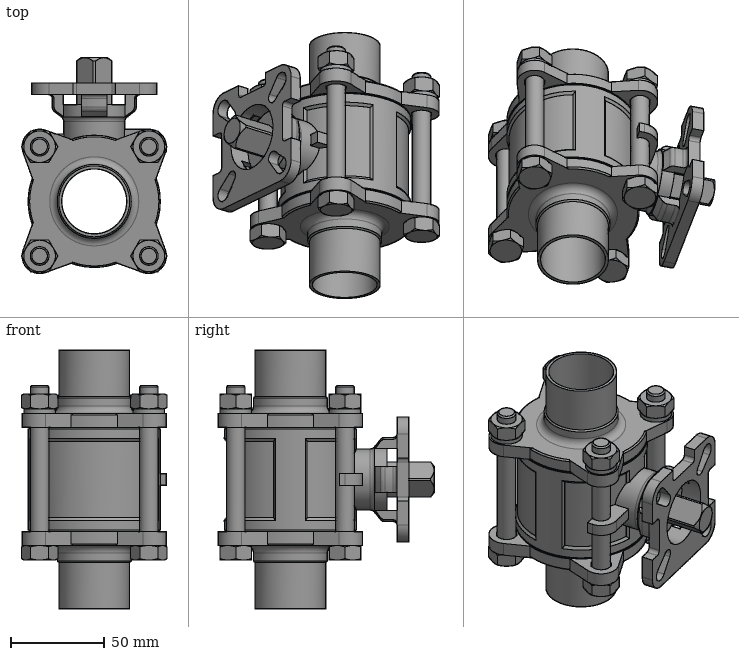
import cadquery as cq
import math


LENGTH = 139.0
BORE_D = 34.8
PIPE_D = 38.1
COLLAR_D = 39.8
COLLAR_TOP = 44.6
COLLAR_CHAMFER = (COLLAR_D - PIPE_D) / 2
COLLAR_FILLET = 4.0

FLANGE_INNER = 28.0
FLANGE_OUTER = 35.5
FLANGE_THICKNESS = FLANGE_OUTER - FLANGE_INNER
FLANGE_D = 71.0
FLANGE_CHAMFER = 0.8
BOLT_OFFSET = 29.3
LOBE_R = 9.5
LOBE_FLANK_ANGLE = math.radians(19.8)
LOBE_FLANK_LENGTH = 15.3
BOLT_HOLE_D = 11.0

BOLT_D = 10.0
BOLT_TOP = 50.6
BOLT_CHAMFER = 0.8
HEX_FLATS = 17.0
HEX_CORNERS = HEX_FLATS / math.cos(math.pi / 6)
HEX_CHAMFER_ANGLE = math.radians(30)
HEAD_HEIGHT = 7.8
WASHER_D = 17.0
WASHER_THICKNESS = 2.5
NUT_TOP = 46.0

BODY_R = FLANGE_D / 2
BODY_HALF = 27.2
SEAL_R = 35.0
PANEL_R = 34.3
PANEL_HALF = 22.0
PANEL_FLOOR_HALF = 20.5
RIB_HALF = 7.4
RIB_ROOT_HALF = 8.2

LUG_HEIGHT = 6.4
LUG_INNER_X = 13.9
LUG_INNER_Y = 26.4
BIG_LUG_REACH = BOLT_OFFSET + LOBE_R
SMALL_LUG_X = 22.2
SMALL_LUG_Y = 36.3

NECK_D = 33.0
NECK_START = 25.0
RING_D = 36.0
RING_END = 52.0
LEG_START = 45.2
LEG_R = 22.7
LEG_WIDTH = 13.9
LEG_FOOT_Y = 44.3
LEG_SHOULDER_Y = 49.2
LEG_BEND_R = 3.2
LEG_TOP_FILLET = 2.1
PLATE_FRONT = 57.3
PLATE_BACK = 63.7
PLATE_HALF = 33.6
PLATE_CORNER_R = 9.3
NOTCH_HALF = 11.5
NOTCH_DEPTH = 7.4
NOTCH_FILLET = 2.1
SLOT_OUTER_R = 35.0
SLOT_INNER_R = 25.0
SLOT_OUTER_D = 9.0
SLOT_INNER_D = 6.8

STEM_END = 77.3
STEM_FLATS = 14.3
STEM_D = 19.0
STEM_TIP_D = 13.9
STEM_CHAMFER = 2.0

BOLT_POINTS = [(sx * BOLT_OFFSET, sy * BOLT_OFFSET) for sx in (-1, 1) for sy in (-1, 1)]


def disc(diameter, z_start, z_end):
    """Cylinder on the Z axis."""
    return cq.Workplane("XY").workplane(offset=z_start).circle(diameter / 2).extrude(z_end - z_start)


def y_plane(y):
    """Sketch plane across the stem axis, in X and Z; a negative extrusion runs along +Y."""
    return cq.Workplane("XZ", origin=(0, y, 0))


def y_disc(diameter, y_start, y_end):
    """Cylinder on the Y axis."""
    return y_plane(y_start).circle(diameter / 2).extrude(y_start - y_end)


def flange_lobe():
    """One bolt lobe at (+X, +Y), with flanks tangent to its round end and running into the disc."""
    sin_a = math.sin(LOBE_FLANK_ANGLE)
    cos_a = math.cos(LOBE_FLANK_ANGLE)
    tangent_x = BOLT_OFFSET - LOBE_R * sin_a
    tangent_y = BOLT_OFFSET + LOBE_R * cos_a
    root_x = tangent_x - LOBE_FLANK_LENGTH * cos_a
    root_y = tangent_y - LOBE_FLANK_LENGTH * sin_a
    tip = BOLT_OFFSET + LOBE_R * math.sqrt(0.5)
    return (
        cq.Workplane("XY")
        .workplane(offset=FLANGE_INNER)
        .moveTo(0, 0)
        .lineTo(root_x, root_y)
        .lineTo(tangent_x, tangent_y)
        .threePointArc((tip, tip), (tangent_y, tangent_x))
        .lineTo(root_y, root_x)
        .close()
        .extrude(FLANGE_THICKNESS)
    )


def pipe_end():
    """Pipe, collar and lobed flange of the upper end."""
    pipe_r = PIPE_D / 2
    collar_r = COLLAR_D / 2
    fillet_mid = COLLAR_FILLET * (1 - math.sqrt(0.5))
    end = (
        cq.Workplane("XZ")
        .moveTo(0, FLANGE_INNER)
        .lineTo(BODY_R, FLANGE_INNER)
        .lineTo(BODY_R, FLANGE_OUTER - FLANGE_CHAMFER)
        .lineTo(BODY_R - FLANGE_CHAMFER, FLANGE_OUTER)
        .lineTo(collar_r + COLLAR_FILLET, FLANGE_OUTER)
        .threePointArc(
            (collar_r + fillet_mid, FLANGE_OUTER + fillet_mid),
            (collar_r, FLANGE_OUTER + COLLAR_FILLET),
        )
        .lineTo(collar_r, COLLAR_TOP - COLLAR_CHAMFER)
        .lineTo(pipe_r, COLLAR_TOP)
        .lineTo(pipe_r, LENGTH / 2)
        .lineTo(0, LENGTH / 2)
        .close()
        .revolve(360, (0, 0, 0), (0, 1, 0))
    )
    lobe = flange_lobe()
    for quarter in range(4):
        end = end.union(lobe.rotate((0, 0, 0), (0, 0, 1), 90 * quarter))
    holes = (
        cq.Workplane("XY")
        .workplane(offset=FLANGE_INNER)
        .pushPoints(BOLT_POINTS)
        .circle(BOLT_HOLE_D / 2)
        .extrude(FLANGE_THICKNESS)
    )
    return end.cut(holes)


def hex_block(z_start, z_end):
    """Hexagon with a corner on X and its corners chamfered at both ends."""
    height = z_end - z_start
    flat_r = HEX_FLATS / 2
    corner_r = HEX_CORNERS / 2
    drop = (corner_r - flat_r) * math.tan(HEX_CHAMFER_ANGLE)
    envelope = (
        cq.Workplane("XZ")
        .polyline([
            (0, z_start),
            (flat_r, z_start),
            (corner_r, z_start + drop),
            (corner_r, z_end - drop),
            (flat_r, z_end),
            (0, z_end),
        ])
        .close()
        .revolve(360, (0, 0, 0), (0, 1, 0))
    )
    prism = cq.Workplane("XY").workplane(offset=z_start).polygon(6, HEX_CORNERS).extrude(height)
    return prism.intersect(envelope)


def bolt_set():
    """Bolt with its head below the lower flange, washer and nut above the upper one."""
    nut_start = FLANGE_OUTER + WASHER_THICKNESS
    shank = disc(BOLT_D, -FLANGE_OUTER - HEAD_HEIGHT / 2, BOLT_TOP).faces(">Z").chamfer(BOLT_CHAMFER)
    return (
        shank
        .union(hex_block(-FLANGE_OUTER - HEAD_HEIGHT, -FLANGE_OUTER))
        .union(disc(WASHER_D, FLANGE_OUTER, nut_start))
        .union(hex_block(nut_start, NUT_TOP))
    )


def panel_rib():
    """Solid strip left between two panels on the +X side; its flanks slope outward to the root."""
    depth = BODY_R - PANEL_R
    slope = (RIB_ROOT_HALF - RIB_HALF) / depth
    rib_top = BODY_R + depth
    rib_root = PANEL_R - depth
    top_half = RIB_HALF - slope * depth
    root_half = RIB_ROOT_HALF + slope * depth
    return (
        cq.Workplane("XY")
        .polyline([(rib_root, -root_half), (rib_top, -top_half), (rib_top, top_half), (rib_root, root_half)])
        .close()
        .extrude(PANEL_HALF, both=True)
    )


def valve_body():
    """Round body with sunken panels between ribs on -X, +X and +Y, and a narrower seal at each end."""
    body = disc(2 * SEAL_R, -FLANGE_INNER, FLANGE_INNER).union(disc(2 * BODY_R, -BODY_HALF, BODY_HALF))
    cutter_r = 2 * BODY_R - PANEL_R
    panels = (
        cq.Workplane("XZ")
        .polyline([
            (PANEL_R, -PANEL_FLOOR_HALF),
            (BODY_R, -PANEL_HALF),
            (cutter_r, -PANEL_HALF),
            (cutter_r, PANEL_HALF),
            (BODY_R, PANEL_HALF),
            (PANEL_R, PANEL_FLOOR_HALF),
        ])
        .close()
        .revolve(360, (0, 0, 0), (0, 1, 0))
    )
    rib = panel_rib()
    for angle in (0, 90, 180):
        panels = panels.cut(rib.rotate((0, 0, 0), (0, 0, 1), angle))
    return body.cut(panels)


def stop_lugs():
    """Lug wrapped round the (+X, +Y) bolt and a short block on the other side of the neck."""
    big_size = BIG_LUG_REACH - LUG_INNER_X
    big_depth = BIG_LUG_REACH - LUG_INNER_Y
    big = (
        cq.Workplane("XY")
        .box(big_size, big_depth, LUG_HEIGHT, centered=(False, False, True))
        .translate((LUG_INNER_X, LUG_INNER_Y, 0))
        .edges("|Z and >X and >Y")
        .fillet(LOBE_R)
    )
    small = (
        cq.Workplane("XY")
        .box(SMALL_LUG_X - LUG_INNER_X, SMALL_LUG_Y - LUG_INNER_Y, LUG_HEIGHT, centered=(False, False, True))
        .translate((-SMALL_LUG_X, LUG_INNER_Y, 0))
    )
    return big.union(small)


def neck():
    """Round neck out of the body, widening to the ring that stands between the legs."""
    return y_disc(NECK_D, NECK_START, LEG_START).union(y_disc(RING_D, LEG_START, RING_END))


def bracket_legs():
    """Four legs from the neck to the plate, cut from one flared body turned about Y."""
    neck_r = NECK_D / 2
    cone_angle = math.atan2(LEG_R - neck_r, LEG_SHOULDER_Y - LEG_FOOT_Y)
    bend = LEG_BEND_R * math.tan(cone_angle / 2)
    bend_r = bend * math.sin(cone_angle)
    bend_y = bend * math.cos(cone_angle)
    top_mid = LEG_TOP_FILLET * (1 - math.sqrt(0.5))
    flare = (
        cq.Workplane("XY")
        .moveTo(0, NECK_START)
        .lineTo(neck_r, NECK_START)
        .lineTo(neck_r, LEG_FOOT_Y - bend)
        .tangentArcPoint((neck_r + bend_r, LEG_FOOT_Y + bend_y), relative=False)
        .lineTo(LEG_R - bend_r, LEG_SHOULDER_Y - bend_y)
        .tangentArcPoint((LEG_R, LEG_SHOULDER_Y + bend), relative=False)
        .lineTo(LEG_R, PLATE_FRONT - LEG_TOP_FILLET)
        .threePointArc(
            (LEG_R + top_mid, PLATE_FRONT - top_mid),
            (LEG_R + LEG_TOP_FILLET, PLATE_FRONT),
        )
        .lineTo(0, PLATE_FRONT)
        .close()
        .revolve(360, (0, 0, 0), (0, 1, 0))
    )
    span = 2 * PLATE_HALF
    cross = (
        y_plane(LEG_START).rect(span, LEG_WIDTH).extrude(LEG_START - PLATE_FRONT)
        .union(y_plane(LEG_START).rect(LEG_WIDTH, span).extrude(LEG_START - PLATE_FRONT))
        .union(y_disc(span, NECK_START, LEG_START))
    )
    return flare.intersect(cross).cut(y_disc(RING_D, RING_END, PLATE_FRONT))


def tapered_slot():
    """Cutter for the plate slot lying along +X: wide outer end, narrow inner end."""
    outer_r = SLOT_OUTER_D / 2
    inner_r = SLOT_INNER_D / 2
    taper_sin = (outer_r - inner_r) / (SLOT_OUTER_R - SLOT_INNER_R)
    taper_cos = math.sqrt(1 - taper_sin ** 2)
    outer_x = SLOT_OUTER_R - outer_r * taper_sin
    outer_z = outer_r * taper_cos
    inner_x = SLOT_INNER_R - inner_r * taper_sin
    inner_z = inner_r * taper_cos
    return (
        y_plane(PLATE_FRONT)
        .moveTo(outer_x, -outer_z)
        .threePointArc((SLOT_OUTER_R + outer_r, 0), (outer_x, outer_z))
        .lineTo(inner_x, inner_z)
        .threePointArc((SLOT_INNER_R - inner_r, 0), (inner_x, -inner_z))
        .close()
        .extrude(PLATE_FRONT - PLATE_BACK)
    )


def mounting_plate():
    """Rounded plate with a center hole, notches in -X, +Z and +X, and a diagonal slot per corner."""
    thickness = PLATE_BACK - PLATE_FRONT
    plate = (
        y_plane(PLATE_FRONT)
        .rect(2 * PLATE_HALF, 2 * PLATE_HALF)
        .extrude(-thickness)
        .edges("|Y")
        .fillet(PLATE_CORNER_R)
        .cut(y_disc(RING_D, PLATE_FRONT, PLATE_BACK))
    )
    notch = (
        y_plane(PLATE_FRONT)
        .center(PLATE_HALF, 0)
        .rect(2 * NOTCH_DEPTH, 2 * NOTCH_HALF)
        .extrude(-thickness)
        .edges("|Y and <X")
        .fillet(NOTCH_FILLET)
    )
    for angle in (0, -90, 180):
        plate = plate.cut(notch.rotate((0, 0, 0), (0, 1, 0), angle))
    slot = tapered_slot()
    for quarter in range(4):
        plate = plate.cut(slot.rotate((0, 0, 0), (0, 1, 0), 45 + 90 * quarter))
    return plate


def stem():
    """Square stem standing on a corner, corners rounded off and tip coned."""
    stem_r = STEM_D / 2
    envelope = (
        cq.Workplane("XY")
        .polyline([
            (0, NECK_START),
            (stem_r, NECK_START),
            (stem_r, STEM_END - STEM_CHAMFER),
            (STEM_TIP_D / 2, STEM_END),
            (0, STEM_END),
        ])
        .close()
        .revolve(360, (0, 0, 0), (0, 1, 0))
    )
    square = (
        y_plane(NECK_START)
        .rect(STEM_FLATS, STEM_FLATS)
        .extrude(NECK_START - STEM_END)
        .rotate((0, 0, 0), (0, 1, 0), 45)
    )
    return square.intersect(envelope)


upper_end = pipe_end()
lower_end = upper_end.mirror("XY")

result = valve_body().union(stop_lugs()).union(upper_end).union(lower_end)
result = result.union(neck()).union(bracket_legs())
result = result.union(mounting_plate()).union(stem())
result = result.cut(disc(BORE_D, -LENGTH / 2, LENGTH / 2))

bolt = bolt_set()
for bolt_x, bolt_y in BOLT_POINTS:
    result = result.union(bolt.translate((bolt_x, bolt_y, 0)))